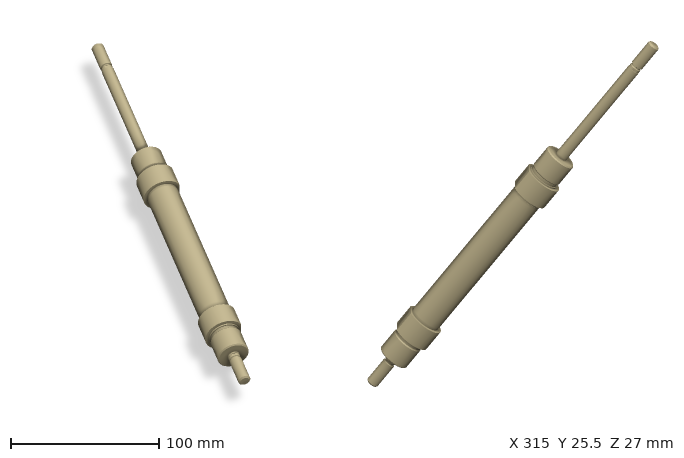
import cadquery as cq


rod_length = 315.0
rod_radius = 4.25
rod_tip_chamfer = 1.0
thread_length = 19.3
relief_length = 1.6
relief_radius = 3.4
relief_slope = 0.4
land_length = 2.0
land_radius = 4.0
flats_width = 7.2

left_cover_face = 104.0
right_cover_face = 291.0
nose_radius = 11.0
nose_length = 15.9
nose_tip_chamfer = 0.8
neck_radius = 10.2
neck_length = 2.9
neck_slope = 0.8
collar_step_length = 1.0
collar_radius = 13.5
collar_length = 15.7
collar_flat_height = 12.0
barrel_step_radius = 10.8
barrel_step_length = 2.0

barrel_radius = 11.0

nose_end = left_cover_face + nose_length
neck_end = nose_end + neck_length
collar_start = neck_end + collar_step_length
collar_end = collar_start + collar_length
left_cover_end = collar_end + barrel_step_length
body_middle = (left_cover_face + right_cover_face) / 2
barrel_length = 2 * (body_middle - left_cover_end)


def revolve_about_axis(points):
    """Turned solid from a closed outline of (x, radius) points."""
    return cq.Workplane("XZ").polyline(points).close().revolve(360, (0, 0, 0), (1, 0, 0))


def tube(start, length, outer_radius, inner_radius):
    """Round tube along X."""
    section = cq.Workplane("YZ").workplane(offset=start).circle(outer_radius).circle(inner_radius)
    return section.extrude(length)


def make_rod_relief():
    """Ring that cuts the thread relief groove and the land near the left tip of the rod."""
    relief_end = thread_length + relief_length
    land_end = relief_end + land_length
    return revolve_about_axis([
        (thread_length, rod_radius),
        (thread_length + relief_slope, relief_radius),
        (relief_end - relief_slope, relief_radius),
        (relief_end, land_radius),
        (land_end, land_radius),
        (land_end, rod_radius),
    ])


def make_flat_cutters():
    """Two blocks that cut the wrench flats near the left tip of the rod."""
    start = thread_length + relief_length
    block = cq.Workplane("XY").box(
        land_length, 2 * rod_radius, rod_radius, centered=(False, True, False)
    )
    upper = block.translate((start, 0, flats_width / 2))
    return upper.union(upper.mirror("XY"))


def make_rod():
    """Through rod with chamfered tips, thread reliefs and lands with wrench flats at both ends."""
    bar = revolve_about_axis([
        (0, 0),
        (0, rod_radius - rod_tip_chamfer),
        (rod_tip_chamfer, rod_radius),
        (rod_length - rod_tip_chamfer, rod_radius),
        (rod_length, rod_radius - rod_tip_chamfer),
        (rod_length, 0),
    ])
    for cutter in (make_rod_relief(), make_flat_cutters()):
        bar = bar.cut(cutter).cut(cutter.mirror("YZ", (rod_length / 2, 0, 0)))
    return bar


def make_left_cover():
    """Nose, narrow neck, collar with one flat, and a step that meets the barrel; bored for the rod."""
    cover = revolve_about_axis([
        (left_cover_face, rod_radius),
        (left_cover_face, nose_radius - nose_tip_chamfer),
        (left_cover_face + nose_tip_chamfer, nose_radius),
        (nose_end, nose_radius),
        (nose_end + neck_slope, neck_radius),
        (neck_end, neck_radius),
        (neck_end, nose_radius),
        (collar_start, nose_radius),
        (collar_start, collar_radius),
        (collar_end, collar_radius),
        (collar_end, barrel_step_radius),
        (left_cover_end, barrel_step_radius),
        (left_cover_end, rod_radius),
    ])
    flat_cutter = cq.Workplane("XY").box(
        collar_length, collar_radius, 2 * collar_radius, centered=(False, False, True)
    )
    return cover.cut(flat_cutter.translate((collar_start, collar_flat_height, 0)))


def make_right_cover():
    """Left cover mirrored about the middle of the cylinder body."""
    return make_left_cover().mirror("YZ", (body_middle, 0, 0))


def make_barrel():
    """Plain barrel bored for the rod."""
    return tube(left_cover_end, barrel_length, barrel_radius, rod_radius)


rod = make_rod()
left_cover = make_left_cover()
right_cover = make_right_cover()
barrel = make_barrel()

result = cq.Compound.makeCompound([rod.val(), left_cover.val(), right_cover.val(), barrel.val()])